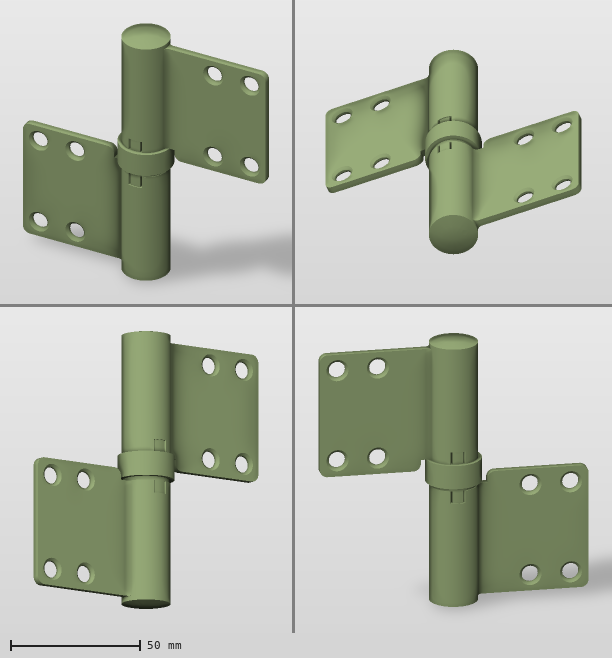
import cadquery as cq
import math

total_height = 108.6
total_width = 106.0

barrel_radius = 9.6
dome_height = 1.4
barrel_end_z = total_height / 2 - dome_height
barrel_inner_z = 5.5

leaf_thickness = 2.9
leaf_outer_x = total_width / 2
leaf_inner_z = 1.0
leaf_height = 50.1
leaf_outer_z = leaf_inner_z + leaf_height
step_x = 13.1
corner_radius = 3.0
root_fillet_radius = 2.2

hole_radius = 3.3
countersink_radius = 4.3
countersink_depth = 1.0
hole_spacing_x = 16.0
hole_spacing_z = 37.0
hole_edge_x = 7.0
hole_edge_z = (leaf_height - hole_spacing_z) / 2

bore_radius = barrel_radius - leaf_thickness
seat_depth = 5.0
key_radius = 9.1
window_width = 5.9
key_width = window_width * bore_radius / barrel_radius

collar_radius = 11.02
collar_top_z = barrel_inner_z
lower_gap = 1.5
collar_bottom_z = lower_gap - barrel_inner_z
collar_height = collar_top_z - collar_bottom_z


def cylinder(radius, bottom_z, height):
    return cq.Workplane("XY").workplane(offset=bottom_z).circle(radius).extrude(height)


def make_barrel():
    """Upright barrel with a shallow domed end."""
    profile = (
        cq.Workplane("XZ")
        .moveTo(0, barrel_inner_z)
        .lineTo(barrel_radius, barrel_inner_z)
        .lineTo(barrel_radius, barrel_end_z)
    )
    dome_radius = (barrel_radius**2 + dome_height**2) / (2 * dome_height)
    half_angle = math.asin(barrel_radius / dome_radius) / 2
    dome_center_z = barrel_end_z + dome_height - dome_radius
    dome_middle = (dome_radius * math.sin(half_angle), dome_center_z + dome_radius * math.cos(half_angle))
    return (
        profile.threePointArc(dome_middle, (0, barrel_end_z + dome_height))
        .close()
        .revolve(360, (0, 0, 0), (0, 1, 0))
    )


def make_plate():
    """Flat plate with rounded corners, stepped where it meets the barrel."""
    plate = (
        cq.Workplane("XZ")
        .moveTo(0, barrel_inner_z)
        .lineTo(step_x, barrel_inner_z)
        .lineTo(step_x, leaf_inner_z)
        .lineTo(leaf_outer_x, leaf_inner_z)
        .lineTo(leaf_outer_x, leaf_outer_z)
        .lineTo(0, leaf_outer_z)
        .close()
        .extrude(leaf_thickness / 2, both=True)
    )
    plate = plate.edges("|Y and >X").fillet(corner_radius)
    inner_corner = cq.selectors.NearestToPointSelector((step_x, 0, leaf_inner_z))
    return plate.edges("|Y").edges(inner_corner).fillet(corner_radius)


def make_root_fillet():
    """Both hollow fillets, tangent to the barrel and to the faces of the plate."""
    center_y = leaf_thickness / 2 + root_fillet_radius
    center_distance = barrel_radius + root_fillet_radius
    center_x = math.sqrt(center_distance**2 - center_y**2)
    touch_x = center_x * barrel_radius / center_distance
    touch_y = center_y * barrel_radius / center_distance
    web = (
        cq.Workplane("XY")
        .workplane(offset=barrel_inner_z)
        .polyline([(0, -touch_y), (touch_x, -touch_y), (center_x, -center_y),
                   (center_x, center_y), (touch_x, touch_y), (0, touch_y)])
        .close()
        .extrude(leaf_outer_z - barrel_inner_z)
    )
    hollows = (
        cq.Workplane("XY")
        .workplane(offset=barrel_inner_z)
        .pushPoints([(center_x, -center_y), (center_x, center_y)])
        .circle(root_fillet_radius)
        .extrude(leaf_outer_z - barrel_inner_z)
    )
    return web.cut(hollows)


def make_windows():
    """Wedge-shaped windows at -Y and +Y with sides pointing at the barrel's axis."""
    half_width = window_width / 2
    side_y = math.sqrt(barrel_radius**2 - half_width**2)
    wedge = (
        cq.Workplane("XY")
        .workplane(offset=barrel_inner_z)
        .moveTo(0, 0)
        .lineTo(-half_width, -side_y)
        .threePointArc((0, -barrel_radius), (half_width, -side_y))
        .close()
        .extrude(seat_depth)
    )
    return wedge.union(wedge.mirror("XZ"))


def make_screw_holes():
    """Grid of four holes, each flared to the countersink diameter at both faces."""
    half_thickness = leaf_thickness / 2
    hole_profile = (
        cq.Workplane("XY")
        .moveTo(0, -half_thickness)
        .lineTo(countersink_radius, -half_thickness)
        .lineTo(hole_radius, countersink_depth - half_thickness)
        .lineTo(hole_radius, half_thickness - countersink_depth)
        .lineTo(countersink_radius, half_thickness)
        .lineTo(0, half_thickness)
        .close()
    )
    hole = hole_profile.revolve(360, (0, 0, 0), (0, 1, 0)).val()
    outer_hole_x = leaf_outer_x - hole_edge_x
    low_hole_z = leaf_inner_z + hole_edge_z
    holes = cq.Workplane("XY")
    for x in (outer_hole_x - hole_spacing_x, outer_hole_x):
        for z in (low_hole_z, low_hole_z + hole_spacing_z):
            holes = holes.add(hole.translate(cq.Vector(x, 0, z)))
    return holes.combine()


def make_leaf():
    """Leaf at +X above the middle of the hinge: plate and barrel in one."""
    plate = make_plate().cut(make_screw_holes())
    leaf = make_barrel().union(make_root_fillet()).union(plate)
    bore = cylinder(bore_radius, barrel_inner_z, seat_depth)
    return leaf.cut(bore).cut(make_windows())


def make_bushing(neck_height=0):
    """Plug with two keys, and a neck filling the gap of neck_height between barrel and collar."""
    key_disc = cylinder(key_radius, barrel_inner_z, seat_depth)
    key_bar = (
        cq.Workplane("XY")
        .workplane(offset=barrel_inner_z)
        .rect(key_width, 2 * barrel_radius)
        .extrude(seat_depth)
    )
    bushing = cylinder(bore_radius, barrel_inner_z, seat_depth).union(key_bar.intersect(key_disc))
    if neck_height > 0:
        neck = cylinder(key_radius, barrel_inner_z - neck_height, neck_height)
        bushing = bushing.union(neck)
    return bushing.clean()


def half_turn(body):
    """Turn a body from above the middle of the hinge to below it, keeping -Y in front."""
    return body.rotate((0, 0, 0), (0, 1, 0), 180)


upper_leaf = make_leaf()
lower_leaf = half_turn(make_leaf())
collar = cylinder(collar_radius, collar_bottom_z, collar_height)
upper_bushing = make_bushing()
lower_bushing = half_turn(make_bushing(lower_gap))

result = cq.Compound.makeCompound([
    upper_leaf.val(),
    lower_leaf.val(),
    collar.val(),
    upper_bushing.val(),
    lower_bushing.val(),
])